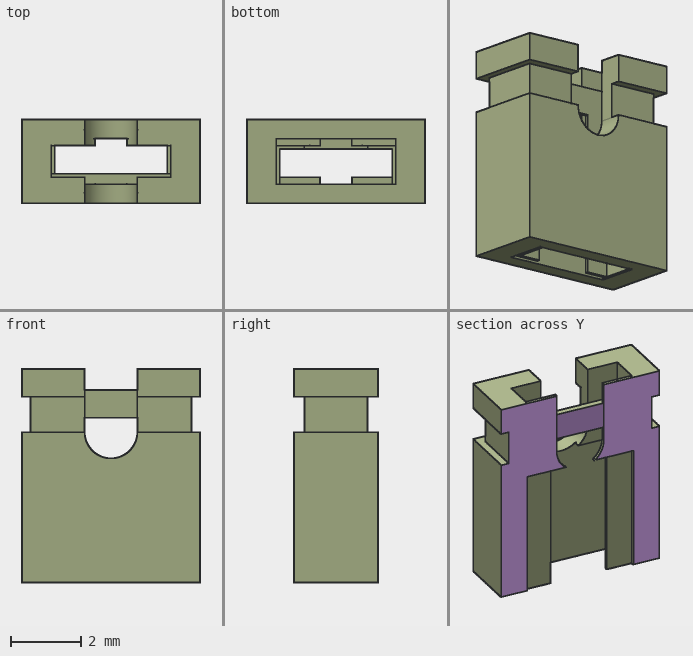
import cadquery as cq


housing_length = 5.08
housing_depth = 2.4
housing_height = 6.1
body_height = 4.3
head_height = 0.8
neck_length = 4.6
neck_depth = 1.8
neck_height = housing_height - head_height - body_height

slot_width = 1.5
slot_radius = slot_width / 2
slot_center_z = body_height

cavity_length = 3.4
throat_depth = 0.9
chamber_depth = 1.3
chamber_height = 3.7

sheet = 0.1
bridge_top_z = 5.5
bridge_height = 0.8
bridge_bottom_z = bridge_top_z - bridge_height
leg_width = 0.8
side_wall_height = 3.5
plate_front_y = -throat_depth / 2
bridge_front_y = -chamber_depth / 2


def centered_block(length, depth, height, bottom_z):
    """A block centred on X and Y, standing on bottom_z."""
    return cq.Workplane("XY", origin=(0, 0, bottom_z)).rect(length, depth).extrude(height)


def corner_block(x_min, x_max, y_min, y_max, z_min, z_max):
    """A block given by its limits along each axis."""
    block = cq.Workplane("XY").box(x_max - x_min, y_max - y_min, z_max - z_min, centered=False)
    return block.translate((x_min, y_min, z_min))


def make_slot_cutter():
    """Slot that opens at the top, runs right through along Y and ends in a half circle."""
    return (
        cq.Workplane("XZ")
        .moveTo(-slot_radius, housing_height)
        .lineTo(-slot_radius, slot_center_z)
        .threePointArc((0, slot_center_z - slot_radius), (slot_radius, slot_center_z))
        .lineTo(slot_radius, housing_height)
        .close()
        .extrude(housing_depth / 2, both=True)
    )


def make_housing():
    body = centered_block(housing_length, housing_depth, body_height, 0)
    neck = centered_block(neck_length, neck_depth, neck_height, body_height)
    head = centered_block(housing_length, housing_depth, head_height, housing_height - head_height)
    throat = centered_block(cavity_length, throat_depth, housing_height, 0)
    chamber = centered_block(cavity_length, chamber_depth, chamber_height, 0)
    outside = body.union(neck).union(head)
    return outside.cut(throat).cut(chamber).cut(make_slot_cutter())


def make_contact():
    plate_back_y = plate_front_y + sheet
    half_length = cavity_length / 2

    crosspiece = corner_block(
        -half_length, half_length, plate_front_y, plate_back_y, bridge_bottom_z, bridge_top_z
    )
    bridge = corner_block(
        -slot_radius, slot_radius, bridge_front_y, plate_back_y, bridge_bottom_z, bridge_top_z
    )

    leg = corner_block(
        half_length - leg_width, half_length, plate_front_y, plate_back_y, 0, bridge_top_z
    )
    side_wall = corner_block(
        half_length - sheet, half_length, plate_front_y, chamber_depth / 2, 0, side_wall_height
    )
    right_side = leg.union(side_wall)
    left_side = right_side.mirror("YZ")

    return crosspiece.union(bridge).union(right_side).union(left_side)


housing = make_housing().solids()
contact = make_contact().solids()

result = cq.Compound.makeCompound([housing.val(), contact.val()])